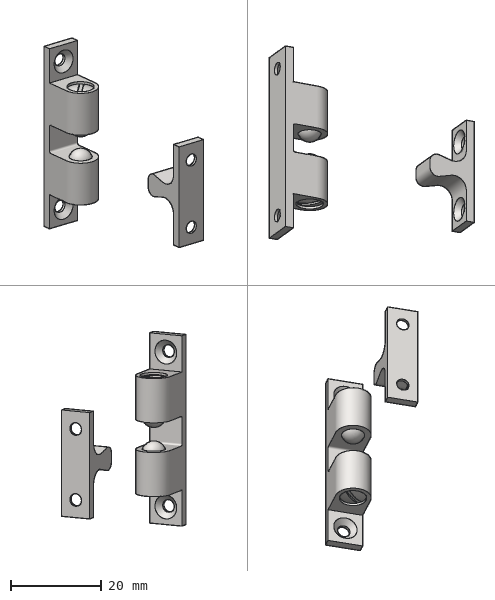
import cadquery as cq
import math

overall_length = 47.15
plate_thickness = 2.0

housing_height = 43.0
housing_width = 8.0
barrel_radius = housing_width / 2
barrel_axis_x = 8.0
gap_half = 3.35
barrel_length = 10.0
gap_corner_radius = 0.45
selection_margin = 0.45

ball_radius = 2.75
ball_protrusion = 1.8
ball_center_z = gap_half - ball_protrusion + ball_radius
barrel_end_z = gap_half + barrel_length
bore_radius = 3.0
screw_length = 3.0
screw_dome_height = 0.55
slot_width = 1.0
slot_angle = -45.0
slot_depth = 0.6

striker_height = 24.05
striker_width = 7.0
striker_depth = 11.0
nose_half_height = 2.65
nose_radius = 1.85
neck_half_height = 1.7
neck_radius = 3.0

hole_radius = 1.4
countersink_radius = 2.7
hole_end_distance = 4.0


def mounting_hole(face_x, z, inward):
    """Countersunk hole along X, entering at face_x; inward is the drilling sign."""
    cone_depth = countersink_radius - hole_radius
    direction = cq.Vector(inward, 0, 0)
    start = cq.Vector(face_x, 0, z)
    drill = cq.Solid.makeCylinder(hole_radius, plate_thickness, start, direction)
    cone = cq.Solid.makeCone(countersink_radius, hole_radius, cone_depth, start, direction)
    return drill.fuse(cone)


def make_ball(side):
    return cq.Workplane("XY").sphere(ball_radius).translate((barrel_axis_x, 0, side * ball_center_z))


def make_screw(side):
    """Slotted screw with a domed head, level with the barrel end at its crown."""
    rim_z = screw_length - screw_dome_height
    dome_radius = (bore_radius**2 + screw_dome_height**2) / (2 * screw_dome_height)
    half_angle = math.asin(bore_radius / dome_radius) / 2
    mid_x = dome_radius * math.sin(half_angle)
    mid_z = screw_length - dome_radius * (1 - math.cos(half_angle))
    screw = (
        cq.Workplane("XZ")
        .lineTo(bore_radius, 0)
        .lineTo(bore_radius, rim_z)
        .threePointArc((mid_x, mid_z), (0, screw_length))
        .close()
        .revolve(360, (0, 0, 0), (0, 1, 0))
    )
    slot = (
        cq.Workplane("XY")
        .box(2 * barrel_radius, slot_width, slot_depth)
        .rotate((0, 0, 0), (0, 0, 1), slot_angle)
        .translate((0, 0, screw_length - slot_depth / 2))
    )
    screw = screw.cut(slot).translate((barrel_axis_x, 0, barrel_end_z - screw_length))
    return screw if side > 0 else screw.mirror("XY")


def make_barrel(side):
    """D-shaped barrel between the gap and its outer end."""
    barrel = (
        cq.Workplane("XY")
        .workplane(offset=gap_half)
        .moveTo(0, -barrel_radius)
        .lineTo(barrel_axis_x, -barrel_radius)
        .threePointArc((barrel_axis_x + barrel_radius, 0), (barrel_axis_x, barrel_radius))
        .lineTo(0, barrel_radius)
        .close()
        .extrude(barrel_length)
    )
    return barrel if side > 0 else barrel.mirror("XY")


def make_bore(side):
    """Bore from the outer end to the ball center, ending in a spherical ball seat."""
    bore = (
        cq.Workplane("XY")
        .workplane(offset=ball_center_z)
        .center(barrel_axis_x, 0)
        .circle(bore_radius)
        .extrude(barrel_end_z - ball_center_z)
    )
    bore = bore if side > 0 else bore.mirror("XY")
    return bore.union(make_ball(side))


def make_housing():
    housing = cq.Workplane("XY").box(plate_thickness, housing_width, housing_height)
    housing = housing.translate((plate_thickness / 2, 0, 0))
    for side in (1, -1):
        housing = housing.union(make_barrel(side))
    gap_corners = cq.selectors.BoxSelector(
        (plate_thickness - selection_margin, -housing_width, -gap_half - selection_margin),
        (plate_thickness + selection_margin, housing_width, gap_half + selection_margin),
    )
    housing = housing.edges("|Y").edges(gap_corners).fillet(gap_corner_radius)
    for side in (1, -1):
        hole_z = side * (housing_height / 2 - hole_end_distance)
        housing = housing.cut(make_bore(side))
        housing = housing.cut(mounting_hole(plate_thickness, hole_z, -1))
    return housing


def make_striker():
    """Plate with a bulbous nose whose flanks are tangent to the nose and neck arcs."""
    tip_x = overall_length - striker_depth
    face_x = overall_length - plate_thickness
    nose_x = tip_x + nose_radius
    nose_z = nose_half_height - nose_radius
    neck_x = face_x - neck_radius
    neck_z = neck_half_height + neck_radius

    center_distance = math.hypot(neck_x - nose_x, neck_z - nose_z)
    center_angle = math.atan2(neck_z - nose_z, neck_x - nose_x)
    normal = center_angle + math.acos((nose_radius + neck_radius) / center_distance)

    def nose_point(angle):
        return nose_x + nose_radius * math.cos(angle), nose_z + nose_radius * math.sin(angle)

    def neck_point(angle):
        return neck_x + neck_radius * math.cos(angle), neck_z + neck_radius * math.sin(angle)

    neck_start = normal - math.pi
    upper_half = (
        cq.Workplane("XZ", origin=(0, striker_width / 2, 0))
        .moveTo(overall_length, 0)
        .lineTo(tip_x, 0)
        .lineTo(tip_x, nose_z)
        .threePointArc(nose_point((math.pi + normal) / 2), nose_point(normal))
        .lineTo(*neck_point(neck_start))
        .threePointArc(neck_point(neck_start / 2), (face_x, neck_z))
        .lineTo(face_x, striker_height / 2)
        .lineTo(overall_length, striker_height / 2)
        .close()
        .extrude(striker_width)
    )
    striker = upper_half.union(upper_half.mirror("XY")).clean()
    for side in (1, -1):
        hole_z = side * (striker_height / 2 - hole_end_distance)
        striker = striker.cut(mounting_hole(face_x, hole_z, 1))
    return striker


housing = make_housing()
striker = make_striker()
balls = [make_ball(side) for side in (1, -1)]
screws = [make_screw(side) for side in (1, -1)]

result = cq.Compound.makeCompound(
    [housing.val(), striker.val()] + [body.val() for body in balls + screws]
)